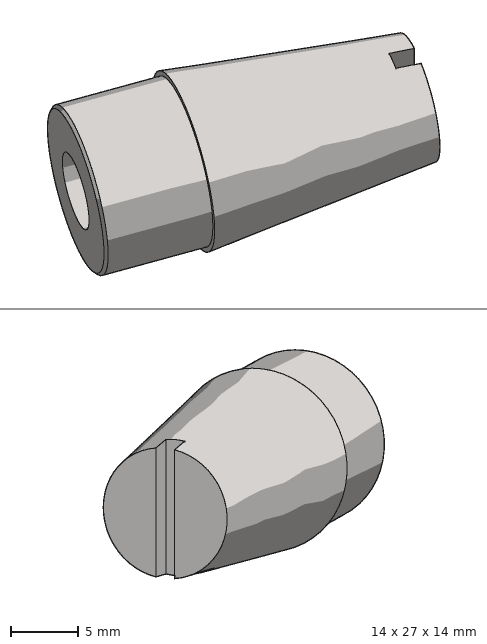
import cadquery as cq

total_length = 27.0
spigot_length = 8.5
spigot_diameter = 13.2
spigot_chamfer = 0.25
shoulder_diameter = 14.0
tip_diameter = 10.0

hole_diameter = 6.0
hole_floor_diameter = 3.5
hole_taper_length = 10.0

slot_width = 1.5
slot_depth = 2.0

front_y = -total_length / 2
tip_y = total_length / 2
shoulder_y = front_y + spigot_length


def revolve_about_y(profile):
    return profile.close().revolve(360, (0, 0, 0), (0, 1, 0))


def make_body():
    spigot_radius = spigot_diameter / 2
    profile = (
        cq.Workplane("XY")
        .moveTo(0, front_y)
        .lineTo(spigot_radius - spigot_chamfer, front_y)
        .lineTo(spigot_radius, front_y + spigot_chamfer)
        .lineTo(spigot_radius, shoulder_y)
        .lineTo(shoulder_diameter / 2, shoulder_y)
        .lineTo(tip_diameter / 2, tip_y)
        .lineTo(0, tip_y)
    )
    return revolve_about_y(profile)


def make_hole():
    floor_y = shoulder_y + hole_taper_length
    profile = (
        cq.Workplane("XY")
        .moveTo(0, front_y)
        .lineTo(hole_diameter / 2, front_y)
        .lineTo(hole_diameter / 2, shoulder_y)
        .lineTo(hole_floor_diameter / 2, floor_y)
        .lineTo(0, floor_y)
    )
    return revolve_about_y(profile)


def make_tip_slot():
    return (
        cq.Workplane("XY")
        .box(slot_width, slot_depth, shoulder_diameter)
        .translate((0, tip_y - slot_depth / 2, 0))
    )


result = make_body().cut(make_hole()).cut(make_tip_slot())